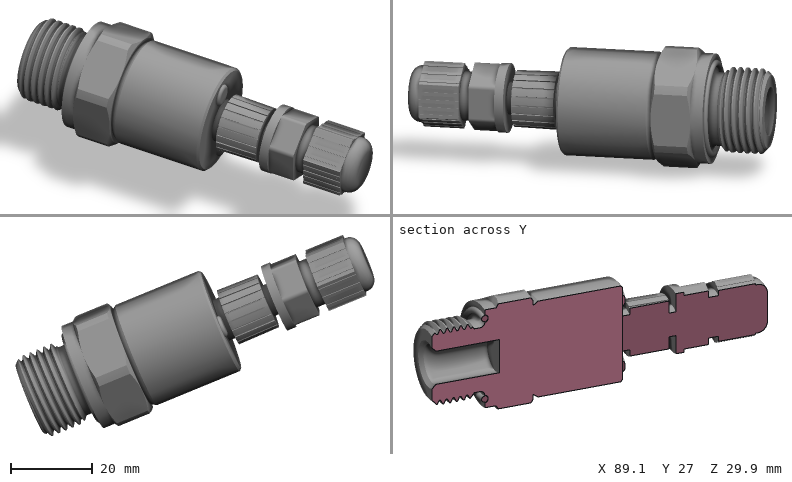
import cadquery as cq
import math

OVERALL_LENGTH = 89.1

SPIGOT_FACE_D = 18.0
THREAD_D = 20.95
THREAD_ROOT_D = 18.6
FIVE_TURNS_LENGTH = 9.1
THREAD_PITCH = FIVE_TURNS_LENGTH / 5
THREAD_END_X = 11.3
THREAD_END_CHAMFER = 1.25
THREAD_CREST_WIDTH = THREAD_PITCH / 6
THREAD_FLANK_ANGLE = 27.5
THREAD_START_X = -0.5
THREAD_EMBED = 0.2
TRIM_CLEARANCE = 0.9
NECK_D = SPIGOT_FACE_D
NECK_FILLET = 1.2

BORE_D = 10.0
BORE_MOUTH_D = 12.0
BORE_DEPTH = 17.8

FLANGE_FACE_X = 14.0
FLANGE_D = 27.0
RING_CENTRE_D = 22.3
RING_SECTION_D = 1.7

HEX_START_X = 17.0
HEX_END_X = 26.9
HEX_ACROSS_FLATS = FLANGE_D
HEX_CORNER_D = 29.95
HEX_CHAMFER_ANGLE = 30.0

BARREL_D = 26.5
BARREL_END_X = 50.6
BARREL_START_CHAMFER = 1.25
BARREL_START_CHAMFER_DEPTH = 0.9
BARREL_END_CHAMFER = 0.5

SCREW_HEAD_D = 5.4
SCREW_HEAD_HEIGHT = 0.8
SCREW_HEAD_FILLET = 0.76
SCREW_OFFSET = 8.9

STEM_D = 10.7
COLLAR_START_X = 52.5
COLLAR_END_X = 63.0
COLLAR_START_D = 14.3
COLLAR_END_D = 13.9
COLLAR_GROOVES = 20
COLLAR_GROOVE_WIDTH = 0.4
COLLAR_GROOVE_DEPTH = 0.4
CABLE_NECK_D = 8.0
GLAND_FLANGE_START_X = 64.7
GLAND_FLANGE_D = 17.0

GLAND_HEX_START_X = 66.9
GLAND_HEX_END_X = 73.45
GLAND_HEX_ACROSS_FLATS = 15.0
GLAND_HEX_FILLET = 1.1
GLAND_NECK_D = 12.0

CAP_START_X = 76.0
CAP_END_X = 85.9
CAP_ACROSS_FLATS = 14.35
CAP_RIB_WIDTH = 0.9
CAP_RIB_HEIGHT = 0.2
CAP_RIB_SPACING = 2.8
CAP_SIDE_RIB_SPACING = 1.9
DOME_D = 14.0
DOME_FILLET = 2.7

HEX_SIDES = 6


def cylinder(start_x, end_x, diameter):
    """Round bar along X."""
    return cq.Workplane("YZ", origin=(start_x, 0, 0)).circle(diameter / 2).extrude(end_x - start_x)


def hexagon(start_x, end_x, across_flats):
    """Hexagonal bar along X with two flats facing +Y and -Y."""
    corner_d = across_flats / math.cos(math.pi / HEX_SIDES)
    bar = cq.Workplane("YZ", origin=(start_x, 0, 0)).polygon(HEX_SIDES, corner_d).extrude(end_x - start_x)
    return bar.rotate((0, 0, 0), (1, 0, 0), 180 / HEX_SIDES)


def revolved(points):
    """Solid of revolution about X from an outline of (x, radius) points."""
    return cq.Workplane("XY").polyline(points).close().revolve(360, (0, 0, 0), (1, 0, 0))


def thread_trim():
    """Cutters for the front and back ends of the thread, leaving both ends chamfered."""
    lead_in = (THREAD_D - SPIGOT_FACE_D) / 2
    clear_r = THREAD_D / 2 + TRIM_CLEARANCE
    overrun = 2 * THREAD_PITCH
    front = revolved([
        (-overrun, 0),
        (0, 0),
        (0, SPIGOT_FACE_D / 2),
        (lead_in + TRIM_CLEARANCE, clear_r),
        (-overrun, clear_r),
    ])
    chamfer_slope = THREAD_END_CHAMFER / ((THREAD_D - NECK_D) / 2)
    back = revolved([
        (THREAD_END_X + overrun, 0),
        (THREAD_END_X, 0),
        (THREAD_END_X, NECK_D / 2),
        (THREAD_END_X - THREAD_END_CHAMFER - TRIM_CLEARANCE * chamfer_slope, clear_r),
        (THREAD_END_X + overrun, clear_r),
    ])
    return front, back


def thread_ridge():
    """Helical ridge, running past both ends of the thread."""
    foot_r = THREAD_ROOT_D / 2 - THREAD_EMBED
    crest_r = THREAD_D / 2
    half_crest = THREAD_CREST_WIDTH / 2
    half_foot = half_crest + (crest_r - foot_r) * math.tan(math.radians(THREAD_FLANK_ANGLE))
    turns = math.ceil((THREAD_END_X - THREAD_START_X) / THREAD_PITCH) + 1
    helix = cq.Wire.makeHelix(THREAD_PITCH, turns * THREAD_PITCH, foot_r)
    section = cq.Workplane("XZ").polyline([
        (foot_r, -half_foot),
        (crest_r, -half_crest),
        (crest_r, half_crest),
        (foot_r, half_foot),
    ]).close()
    ridge = section.sweep(cq.Workplane(obj=helix), isFrenet=True)
    return ridge.rotate((0, 0, 0), (0, 1, 0), 90).translate((THREAD_START_X, 0, 0))


def spigot():
    """Threaded end with its plain neck, flared into the flange face."""
    core = cylinder(0, THREAD_END_X, THREAD_ROOT_D)
    thread = core.union(thread_ridge())
    for trim in thread_trim():
        thread = thread.cut(trim)
    neck_r = NECK_D / 2
    flare_x = FLANGE_FACE_X - NECK_FILLET
    neck = (
        cq.Workplane("XY")
        .moveTo(THREAD_END_X, 0)
        .lineTo(THREAD_END_X, neck_r)
        .lineTo(flare_x, neck_r)
        .radiusArc((FLANGE_FACE_X, neck_r + NECK_FILLET), -NECK_FILLET)
        .lineTo(FLANGE_FACE_X, 0)
        .close()
        .revolve(360, (0, 0, 0), (1, 0, 0))
    )
    return thread.union(neck)


def housing_hexagon():
    """Hexagon with trimmed corners and both ends chamfered."""
    face_r = HEX_ACROSS_FLATS / 2
    corner_r = HEX_CORNER_D / 2
    chamfer_length = (corner_r - face_r) * math.tan(math.radians(HEX_CHAMFER_ANGLE))
    limit = revolved([
        (HEX_START_X, 0),
        (HEX_START_X, face_r),
        (HEX_START_X + chamfer_length, corner_r),
        (HEX_END_X - chamfer_length, corner_r),
        (HEX_END_X, face_r),
        (HEX_END_X, 0),
    ])
    return hexagon(HEX_START_X, HEX_END_X, HEX_ACROSS_FLATS).intersect(limit)


def barrel():
    """Plain cylinder with both ends chamfered."""
    outer_r = BARREL_D / 2
    return revolved([
        (HEX_END_X, 0),
        (HEX_END_X, outer_r - BARREL_START_CHAMFER_DEPTH),
        (HEX_END_X + BARREL_START_CHAMFER, outer_r),
        (BARREL_END_X - BARREL_END_CHAMFER, outer_r),
        (BARREL_END_X, outer_r - BARREL_END_CHAMFER),
        (BARREL_END_X, 0),
    ])


def bore():
    """Blind bore with a 45 degree mouth."""
    mouth_depth = (BORE_MOUTH_D - BORE_D) / 2
    return revolved([
        (0, 0),
        (0, BORE_MOUTH_D / 2),
        (mouth_depth, BORE_D / 2),
        (BORE_DEPTH, BORE_D / 2),
        (BORE_DEPTH, 0),
    ])


def make_sealing_ring():
    """Round-section ring, half sunk into the flange face."""
    return (
        cq.Workplane("XY", origin=(FLANGE_FACE_X, RING_CENTRE_D / 2, 0))
        .circle(RING_SECTION_D / 2)
        .revolve(360, (0, -RING_CENTRE_D / 2, 0), (1, -RING_CENTRE_D / 2, 0))
    )


def make_housing():
    """Spigot, flange, hexagon and barrel in one piece, with the bore and the ring seat."""
    body = barrel().union(housing_hexagon())
    body = body.union(cylinder(FLANGE_FACE_X, HEX_START_X, FLANGE_D))
    body = body.union(spigot())
    return body.cut(bore()).cut(make_sealing_ring())


def make_screw_head(offset_z):
    """Rounded screw head standing on the end of the barrel."""
    head = cylinder(BARREL_END_X, BARREL_END_X + SCREW_HEAD_HEIGHT, SCREW_HEAD_D)
    return head.faces(">X").edges().fillet(SCREW_HEAD_FILLET).translate((0, 0, offset_z))


def fluted_collar():
    """Slightly tapered collar with narrow lengthwise grooves."""
    start_r = COLLAR_START_D / 2
    end_r = COLLAR_END_D / 2
    collar = revolved([
        (COLLAR_START_X, 0),
        (COLLAR_START_X, start_r),
        (COLLAR_END_X, end_r),
        (COLLAR_END_X, 0),
    ])
    half_width = COLLAR_GROOVE_WIDTH / 2
    groove = (
        cq.Workplane("XY", origin=(0, 0, -half_width))
        .polyline([
            (COLLAR_START_X, start_r - COLLAR_GROOVE_DEPTH),
            (COLLAR_END_X, end_r - COLLAR_GROOVE_DEPTH),
            (COLLAR_END_X, start_r + COLLAR_GROOVE_DEPTH),
            (COLLAR_START_X, start_r + COLLAR_GROOVE_DEPTH),
        ])
        .close()
        .extrude(COLLAR_GROOVE_WIDTH)
    )
    for index in range(COLLAR_GROOVES):
        collar = collar.cut(groove.rotate((0, 0, 0), (1, 0, 0), index * 360 / COLLAR_GROOVES))
    return collar


def ribbed_cap():
    """Hexagonal cap with five ribs on the +Y and -Y flats and three on each of the others."""
    cap = hexagon(CAP_START_X, CAP_END_X, CAP_ACROSS_FLATS)
    flat_y = CAP_ACROSS_FLATS / 2
    middle_x = (CAP_START_X + CAP_END_X) / 2
    rib = cq.Workplane("XY", origin=(middle_x, flat_y, 0)).box(
        CAP_END_X - CAP_START_X, 2 * CAP_RIB_HEIGHT, CAP_RIB_WIDTH
    )
    close_places = [count * CAP_SIDE_RIB_SPACING for count in (-2, -1, 0, 1, 2)]
    wide_places = [count * CAP_RIB_SPACING for count in (-1, 0, 1)]
    for side in range(HEX_SIDES):
        faces_y = side % (HEX_SIDES // 2) == 0
        for place in close_places if faces_y else wide_places:
            placed_rib = rib.translate((0, 0, place))
            cap = cap.union(placed_rib.rotate((0, 0, 0), (1, 0, 0), side * 360 / HEX_SIDES))
    return cap


def dome():
    """Rounded end of the cap."""
    return cylinder(CAP_END_X, OVERALL_LENGTH, DOME_D).faces(">X").edges().fillet(DOME_FILLET)


def make_connector():
    """Stem, collar, cable gland and cap in one piece."""
    gland_hex = hexagon(GLAND_HEX_START_X, GLAND_HEX_END_X, GLAND_HEX_ACROSS_FLATS)
    gland_hex = gland_hex.edges("|X").fillet(GLAND_HEX_FILLET)
    sections = [
        fluted_collar(),
        cylinder(COLLAR_END_X, GLAND_FLANGE_START_X, CABLE_NECK_D),
        cylinder(GLAND_FLANGE_START_X, GLAND_HEX_START_X, GLAND_FLANGE_D),
        gland_hex,
        cylinder(GLAND_HEX_END_X, CAP_START_X, GLAND_NECK_D),
        ribbed_cap(),
        dome(),
    ]
    connector = cylinder(BARREL_END_X, COLLAR_START_X, STEM_D)
    for section in sections:
        connector = connector.union(section)
    return connector


housing = make_housing()
sealing_ring = make_sealing_ring()
screw_heads = [make_screw_head(side * SCREW_OFFSET) for side in (-1, 1)]
connector = make_connector()

result = cq.Compound.makeCompound([
    housing.solids().val(),
    sealing_ring.val(),
    *[head.val() for head in screw_heads],
    connector.solids().val(),
])